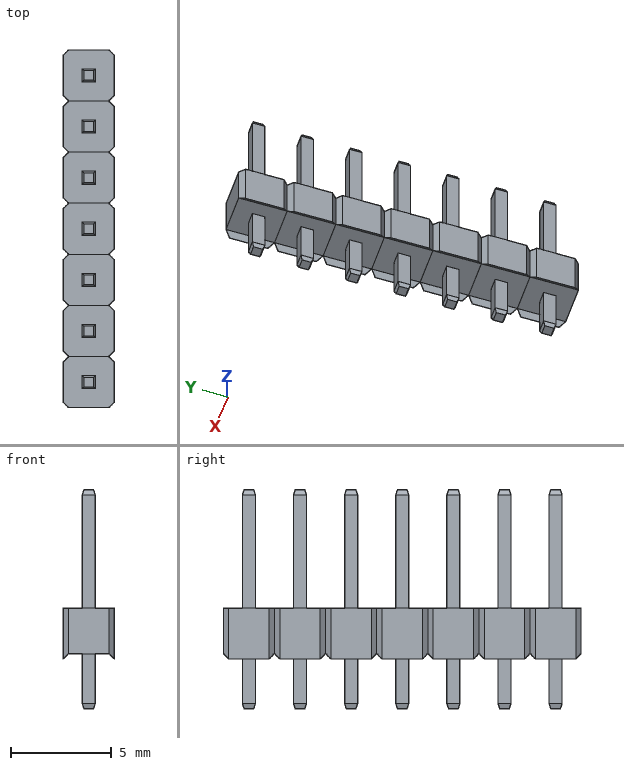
import cadquery as cq

segment_count = 7
row_length = 17.78
pitch = row_length / segment_count

block_size = pitch
corner_chamfer = 0.27
channel_depth = corner_chamfer

pin_width = 0.65
pin_above_block = 5.89
pin_length = 10.9
pin_top = block_size + pin_above_block
pin_bottom = pin_top - pin_length
tip_height = 0.27
tip_inset = 0.09


def make_block():
    """Cube with chamfered upright edges and a sloped-wall channel along Y in its underside."""
    block = (
        cq.Workplane("XY")
        .box(block_size, block_size, block_size, centered=(True, True, False))
        .edges("|Z")
        .chamfer(corner_chamfer)
    )
    half_mouth = block_size / 2
    half_roof = half_mouth - channel_depth
    channel = (
        cq.Workplane("XZ")
        .polyline([
            (-half_mouth, 0),
            (half_mouth, 0),
            (half_roof, channel_depth),
            (-half_roof, channel_depth),
        ])
        .close()
        .extrude(half_mouth, both=True)
    )
    return block.cut(channel)


def make_tip(base_z, end_z):
    """Square frustum narrowing from the full pin section at base_z to the flat end at end_z."""
    end_width = pin_width - 2 * tip_inset
    return (
        cq.Workplane("XY")
        .workplane(offset=base_z)
        .rect(pin_width, pin_width)
        .workplane(offset=end_z - base_z)
        .rect(end_width, end_width)
        .loft(ruled=True)
    )


def make_pin():
    """Straight square shank with a tapered tip at each end."""
    shank_bottom = pin_bottom + tip_height
    shank_top = pin_top - tip_height
    shank = (
        cq.Workplane("XY")
        .workplane(offset=shank_bottom)
        .rect(pin_width, pin_width)
        .extrude(shank_top - shank_bottom)
    )
    return shank.union(make_tip(shank_top, pin_top)).union(make_tip(shank_bottom, pin_bottom))


def make_segment(center_y):
    """One header segment: block and pin in a single solid, centred at the given Y."""
    return make_block().union(make_pin()).translate((0, center_y, 0))


first_center_y = (pitch - row_length) / 2
segments = [make_segment(first_center_y + i * pitch) for i in range(segment_count)]

result = cq.Compound.makeCompound([segment.solids().val() for segment in segments])